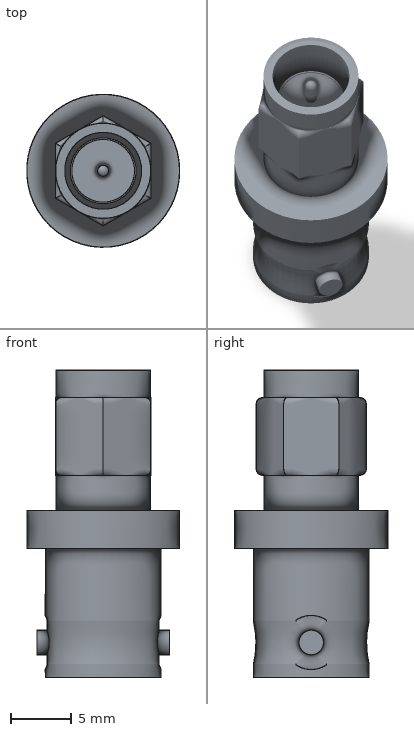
import cadquery as cq
import math

total_height = 25.5
flange_bottom = 10.68
flange_top = 13.87
flange_diameter = 12.7

barrel_diameter = 9.61
groove_center = 2.9
groove_half_height = 1.78
groove_depth = 0.2
lug_radius = 1.02
lug_tip = 5.5
lug_seat_radius = 2.25
lug_seat_offset = 4.65

plug_radius = 2.73
plug_top = 22.45
plug_rim_width = 0.13
plug_recess_depth = 0.08
contact_radius = 0.45
contact_tip = 24.55

nut_across_flats = 7.9
collar_diameter = 7.88
nut_bore_radius = 3.2
hex_bottom = 16.75
hex_top = 23.23
hex_round = 0.54
round_steps = 4

barrel_radius = barrel_diameter / 2
collar_radius = collar_diameter / 2
flat_offset = nut_across_flats / 2
hex_corner_radius = flat_offset / math.cos(math.radians(30))
hex_middle = (hex_bottom + hex_top) / 2


def cylinder(radius, bottom, top):
    """Upright cylinder on the Z axis."""
    return cq.Workplane("XY").workplane(offset=bottom).circle(radius).extrude(top - bottom)


def make_barrel():
    """Barrel with a shallow arc-shaped groove running around it."""
    return (
        cq.Workplane("XZ")
        .lineTo(barrel_radius, 0)
        .lineTo(barrel_radius, groove_center - groove_half_height)
        .threePointArc(
            (barrel_radius - groove_depth, groove_center),
            (barrel_radius, groove_center + groove_half_height),
        )
        .lineTo(barrel_radius, flange_bottom)
        .lineTo(0, flange_bottom)
        .close()
        .revolve(360, (0, 0), (0, 1))
    )


def make_cross_cylinder(radius, start, end):
    """Cylinder along X at the height of the lugs."""
    return (
        cq.Workplane("YZ")
        .workplane(offset=start)
        .center(0, groove_center)
        .circle(radius)
        .extrude(end - start)
    )


def add_lugs(barrel):
    """Cut a round flat on the -X and +X sides and put a bayonet lug on each."""
    for side in (-1, 1):
        barrel = barrel.cut(
            make_cross_cylinder(lug_seat_radius, side * lug_seat_offset, side * lug_tip)
        )
    return barrel.union(make_cross_cylinder(lug_radius, -lug_tip, lug_tip))


def make_plug():
    """Plug with a thin raised rim and a round-tipped center contact."""
    plug_floor = plug_top - plug_recess_depth
    plug = cylinder(plug_radius, flange_bottom, plug_top)
    plug = plug.cut(cylinder(plug_radius - plug_rim_width, plug_floor, plug_top))
    contact = cylinder(contact_radius, flange_bottom, contact_tip - contact_radius)
    tip = cq.Workplane("XY").sphere(contact_radius).translate((0, 0, contact_tip - contact_radius))
    return plug.union(contact).union(tip)


def make_connector_body():
    flange = cylinder(flange_diameter / 2, flange_bottom, flange_top)
    return add_lugs(make_barrel()).union(flange).union(make_plug())


def rounded_section(distance, sink):
    """Section beside the middle of the +X flat, with its rounding sunk below the hex end."""
    round_start = hex_top - sink
    round_end = flat_offset - hex_round
    return (
        cq.Workplane("XZ", origin=(0, -distance, 0))
        .moveTo(0, hex_middle)
        .lineTo(flat_offset, hex_middle)
        .lineTo(flat_offset, round_start)
        .radiusArc((round_end, round_start + hex_round), -hex_round)
        .lineTo(0, round_start + hex_round)
        .close()
    )


def make_hex_part():
    """One twelfth of the upper half of the hexagon, from the middle of a flat to a corner.

    A round of constant radius, tangent to the flat, sinks away from the middle of the flat
    just enough for its surface to leave a round end face that reaches the flats. Near the corner it
    stays level.
    """
    sections = []
    for step in range(round_steps + 1):
        angle = math.radians(90 * step / round_steps)
        face_gap = hex_round * (1 - math.cos(angle))
        distance = math.sqrt(flat_offset**2 - (flat_offset - face_gap) ** 2)
        sections.append(rounded_section(distance, hex_round * math.sin(angle)).wires().val())
    sinking = cq.Workplane(obj=cq.Solid.makeLoft(sections))
    level = rounded_section(distance, hex_round).extrude(hex_corner_radius / 2 - distance)
    wedge = (
        cq.Workplane("XY")
        .workplane(offset=hex_middle)
        .lineTo(flat_offset, 0)
        .lineTo(flat_offset, -hex_corner_radius / 2)
        .close()
        .extrude(hex_top - hex_middle)
    )
    return sinking.union(level).intersect(wedge)


def make_hex():
    """Hexagon with corners on the Y axis and rounded ends."""
    part = make_hex_part()
    upper = part.union(part.mirror("XZ"))
    sector = upper.union(upper.mirror("XY", (0, 0, hex_middle)))
    hexagon = sector
    for side in range(1, 6):
        hexagon = hexagon.union(sector.rotate((0, 0, 0), (0, 0, 1), 60 * side))
    return hexagon


def make_coupling_nut():
    collar = cylinder(collar_radius, flange_top, total_height)
    bore = cylinder(nut_bore_radius, flange_top, total_height)
    return collar.union(make_hex()).cut(bore)


connector_body = make_connector_body()
coupling_nut = make_coupling_nut()

result = cq.Compound.makeCompound([connector_body.val(), coupling_nut.val()])